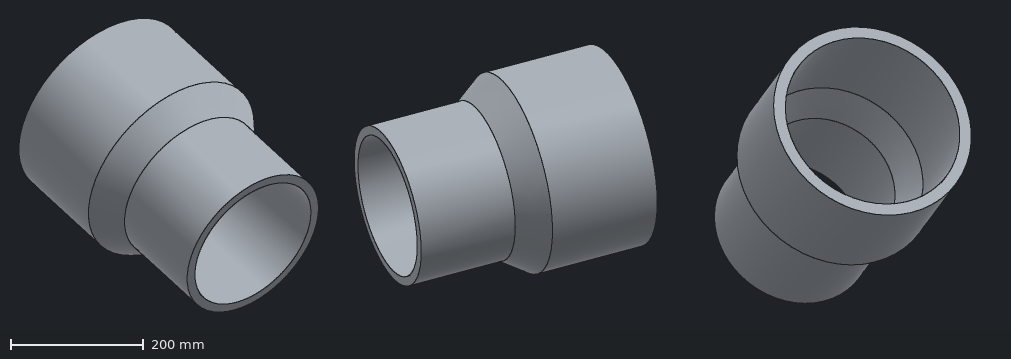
import cadquery as cq

total_length = 375.0
large_length = 173.0
small_length = 155.0

large_outer_diameter = 315.0
large_bore_diameter = 277.6
small_outer_diameter = 250.0
small_bore_diameter = 220.4

cone_start = large_length
cone_end = total_length - small_length


def stepped_cone(large_diameter, small_diameter):
    """Solid of revolution: large cylinder, cone, small cylinder."""
    large_radius = large_diameter / 2
    small_radius = small_diameter / 2
    profile = (
        cq.Workplane("XY")
        .moveTo(0, 0)
        .lineTo(0, large_radius)
        .lineTo(cone_start, large_radius)
        .lineTo(cone_end, small_radius)
        .lineTo(total_length, small_radius)
        .lineTo(total_length, 0)
        .close()
    )
    return profile.revolve(360, (0, 0, 0), (1, 0, 0))


body = stepped_cone(large_outer_diameter, small_outer_diameter)
bore = stepped_cone(large_bore_diameter, small_bore_diameter)

result = body.cut(bore)